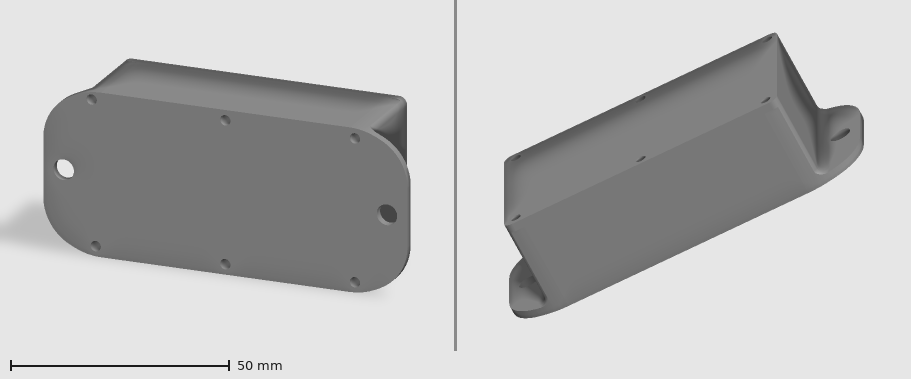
import cadquery as cq

FLANGE_LENGTH = 90.0
HEIGHT = 40.0
TOTAL_DEPTH = 24.0

BOX_LENGTH = 70.0
BOX_CORNER_RADIUS = 2.0
LID_THICKNESS = 2.0
BODY_DEPTH = TOTAL_DEPTH - LID_THICKNESS

FLANGE_THICKNESS = 2.0
FLANGE_ROOT_RADIUS = 2.0

END_HALF_HEIGHT = 14.85
TOP_HALF_LENGTH = 34.1
END_CORNER_RADIUS = 12.0
TOP_CORNER_RADIUS = 15.0

MOUNT_HOLE_DIAMETER = 5.0
MOUNT_HOLE_X = 40.0
MOUNT_HOLES = [(-MOUNT_HOLE_X, 0), (MOUNT_HOLE_X, 0)]

SCREW_HOLE_DIAMETER = 2.5
SCREW_X = 32.0
SCREW_Z = 17.5
PATTERN_SCREWS = [
    (column * SCREW_X, row * SCREW_Z)
    for column in (-1, 0, 1)
    for row in (-1, 1)
    if (column, row) != (-1, 1)
]

ODD_BODY_SCREW = (-BOX_LENGTH / 2 + BOX_CORNER_RADIUS, HEIGHT / 2 - BOX_CORNER_RADIUS)
ODD_LID_SCREW = (-32.5, 17.55)


def plane_at(y):
    """XZ work plane at depth y; its normal is -Y, so negative extrusions go toward +Y."""
    return cq.Workplane("XZ", origin=(0, y, 0))


def rounded_box(start, depth):
    """Block with rounded corners, from y = start toward +Y."""
    block = plane_at(start).rect(BOX_LENGTH, HEIGHT).extrude(-depth)
    return block.edges("|Y").fillet(BOX_CORNER_RADIUS)


def flange_outline_prism():
    """Flange outline extruded through the full depth of the body."""
    end_x = FLANGE_LENGTH / 2
    top_z = HEIGHT / 2
    corners = [
        (end_x, -END_HALF_HEIGHT),
        (end_x, END_HALF_HEIGHT),
        (TOP_HALF_LENGTH, top_z),
        (-TOP_HALF_LENGTH, top_z),
        (-end_x, END_HALF_HEIGHT),
        (-end_x, -END_HALF_HEIGHT),
        (-TOP_HALF_LENGTH, -top_z),
        (TOP_HALF_LENGTH, -top_z),
    ]
    prism = plane_at(0).polyline(corners).close().extrude(-BODY_DEPTH)
    prism = prism.edges("|Y and (<Z or >Z)").fillet(TOP_CORNER_RADIUS)
    return prism.edges("|Y and (<X or >X)").fillet(END_CORNER_RADIUS)


def box_on_plate():
    """Box standing on an oversized plate, with a fillet all round its foot."""
    plate = plane_at(0).rect(FLANGE_LENGTH, 2 * HEIGHT).extrude(-FLANGE_THICKNESS)
    foot_edges = cq.selectors.BoxSelector(
        (-FLANGE_LENGTH / 2 + FLANGE_ROOT_RADIUS, FLANGE_THICKNESS / 2, -HEIGHT / 2 - FLANGE_ROOT_RADIUS),
        (FLANGE_LENGTH / 2 - FLANGE_ROOT_RADIUS, FLANGE_THICKNESS * 2, HEIGHT / 2 + FLANGE_ROOT_RADIUS),
    )
    return plate.union(rounded_box(0, BODY_DEPTH)).edges(foot_edges).fillet(FLANGE_ROOT_RADIUS)


def drill(solid, centres, diameter):
    """Cut round holes right through the solid along Y."""
    cutters = plane_at(0).pushPoints(centres).circle(diameter / 2).extrude(-TOTAL_DEPTH)
    return solid.cut(cutters)


def make_body():
    """Box with a mounting ear at each end, trimmed to the flange outline."""
    trimmed = box_on_plate().intersect(flange_outline_prism())
    drilled = drill(trimmed, MOUNT_HOLES, MOUNT_HOLE_DIAMETER)
    return drill(drilled, PATTERN_SCREWS + [ODD_BODY_SCREW], SCREW_HOLE_DIAMETER)


def make_lid():
    """Flat cover on the +Y end of the body."""
    cover = rounded_box(BODY_DEPTH, LID_THICKNESS)
    return drill(cover, PATTERN_SCREWS + [ODD_LID_SCREW], SCREW_HOLE_DIAMETER)


body = make_body().solids()
lid = make_lid().solids()
result = cq.Compound.makeCompound([body.val(), lid.val()])